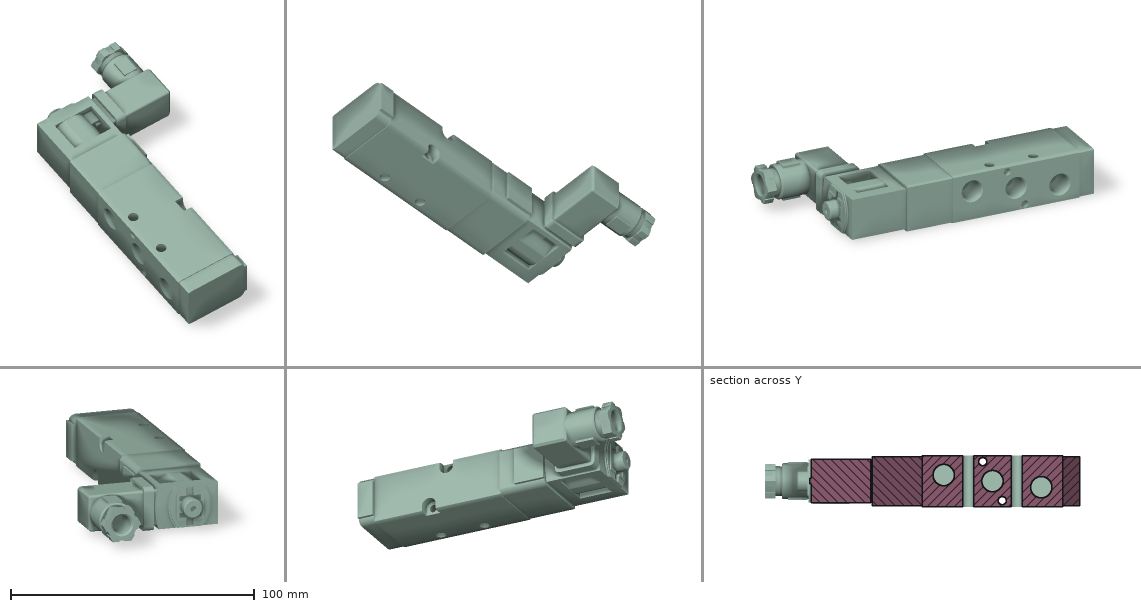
import cadquery as cq
import math


valve_length = 57.8
valve_half_width = 13.7
valve_height = 21.2
valve_round_run = 2.2
valve_round_drop = 0.5

port_diameter = 8.57
port_mouth_diameter = 9.8
port_depth = 11.0
port_pitch = 20.0
port_stagger = 2.5

mount_hole_diameter = 4.3
mount_hole_pitch = 20.0
mount_hole_y = -9.2

cross_hole_diameter = 3.2
cross_hole_x = 4.0
cross_hole_z = 8.0
head_pocket_width = 6.3
head_pocket_depth = 4.0

end_height = 20.4
end_front_y = -13.4
end_back_y = 14.45
end_front_round_run = 1.9
end_front_round_drop = 0.37
end_back_round_run = 2.95
end_back_round_drop = 1.9
adaptor_length = 20.6
cap_length = 6.9
tab_height = 1.3
tab_half_thickness = 7.8
adaptor_tab_length = 13.2

frame_gap = 0.3
frame_length = 24.6
frame_height = 18.0
frame_front_y = -12.6
frame_back_y = 13.1
frame_crown = 1.6
spigot_diameter = 12.0

window_length = 14.4
window_offset = 5.0
window_front_y = -7.2
window_back_y = 11.0
window_corner_radius = 0.6

coil_diameter = 18.3
coil_flat_half_height = 8.84
terminal_length = 5.7
terminal_width = 3.9
terminal_half_height = 5.8
terminal_step_length = 1.1
terminal_step_width = 2.0
terminal_step_half_height = 4.5

nose_base_half_width = 9.2
nose_base_corner_half_width = 5.9
nose_base_height = 0.6
nose_step_half_width = 8.3
nose_step_corner_half_width = 5.2
nose_step_height = 1.0
nose_boss_half_width = 5.9
nose_boss_height = 1.5
nose_pocket_half_width = 4.7
spoke_half_height = 2.45
nose_notch_width = 3.2
nose_notch_outer_z = 8.2
tip_diameter = 8.0
tip_length = 5.6
tip_chamfer = 0.4
override_diameter = 2.4
override_depth = 1.5

plug_offset = 0.75
plug_length = 15.6
plug_half_thickness = 7.75
plug_back_y = 43.0
plug_edge_radius = 1.0
plug_chamfer = 0.95
flange_length = 18.1
flange_overhang = 1.5
flange_half_thickness = 9.35
flange_start_y = 15.4
flange_thickness = 4.3
flange_corner_radius = 2.1

gland_y = 35.3
barrel_diameter = 14.8
barrel_length = 12.7
barrel_chamfer = 0.5
groove_diameter = 12.0
groove_length = 0.8
collar_diameter = 12.4
collar_length = 1.9
barrel_pad_length = 7.9
barrel_pad_width = 6.0
barrel_pad_offset = 2.5
knob_length = 4.15
knob_corner_diameter = 16.22
knob_groove_width = 2.6
knob_groove_depth = 0.5
cable_bore_diameter = 8.0
cable_bore_mouth_chamfer = 0.8
cable_bore_depth = 12.0

valve_left_x = -valve_length / 2
valve_right_x = valve_length / 2
adaptor_left_x = valve_left_x - adaptor_length
frame_right_x = adaptor_left_x - frame_gap
frame_left_x = frame_right_x - frame_length
window_left_x = frame_left_x + window_offset
coil_radius = coil_diameter / 2
plug_left_x = frame_left_x + plug_offset
flange_left_x = plug_left_x - flange_overhang
barrel_left_x = plug_left_x - barrel_length
collar_right_x = barrel_left_x - groove_length
collar_left_x = collar_right_x - collar_length
knob_left_x = collar_left_x - knob_length


def box(x_range, y_range, z_range):
    """Box between the given low and high limits on each axis."""
    size = [high - low for low, high in (x_range, y_range, z_range)]
    corner = (x_range[0], y_range[0], z_range[0])
    return cq.Workplane("XY").box(*size, centered=False).translate(corner)


def edge_round_middle(run, drop):
    """Run and drop at the middle of an arc that leaves a flat face tangentially."""
    radius = (run**2 + drop**2) / (2 * drop)
    half_angle = math.atan2(run, radius - drop) / 2
    return radius * math.sin(half_angle), radius * (1 - math.cos(half_angle))


def rounded_bar(left_x, length, y_range, height, front_round, back_round):
    """Bar along X; each round is the run along Y and drop along Z of its long edge arcs."""
    front_y, back_y = y_range
    front_run, front_drop = front_round
    back_run, back_drop = back_round
    front_middle_run, front_middle_drop = edge_round_middle(front_run, front_drop)
    back_middle_run, back_middle_drop = edge_round_middle(back_run, back_drop)
    top_z = height / 2
    front_flat_y = front_y + front_run
    back_flat_y = back_y - back_run
    front_middle = (front_flat_y - front_middle_run, top_z - front_middle_drop)
    back_middle = (back_flat_y + back_middle_run, top_z - back_middle_drop)
    upper_half = (
        cq.Workplane("YZ", origin=(left_x, 0, 0))
        .moveTo(front_y, 0)
        .lineTo(front_y, top_z - front_drop)
        .threePointArc(front_middle, (front_flat_y, top_z))
        .lineTo(back_flat_y, top_z)
        .threePointArc(back_middle, (back_y, top_z - back_drop))
        .lineTo(back_y, 0)
        .close()
        .extrude(length)
    )
    return upper_half.union(upper_half.mirror("XY")).clean()


def rod_x(left_x, length, diameter, y=0.0):
    """Cylinder along +X that starts at left_x."""
    return cq.Workplane("YZ", origin=(left_x, y, 0)).circle(diameter / 2).extrude(length)


def make_port(x, z):
    """Round port into the -Y face with a countersunk mouth."""
    mouth = (port_mouth_diameter - port_diameter) / 2
    bore_radius = port_diameter / 2
    outline = [
        (0, 0),
        (bore_radius + mouth, 0),
        (bore_radius, mouth),
        (bore_radius, port_depth),
        (0, port_depth),
    ]
    port = cq.Workplane("XY").polyline(outline).close().revolve(360, (0, 0), (0, 1))
    return port.translate((x, -valve_half_width, z))


def make_cross_hole(side):
    """Screw hole along Y; its head pocket opens at +Y and at the near top or bottom face."""
    x = -side * cross_hole_x
    z = side * cross_hole_z
    start = cq.Workplane("XZ", origin=(x, valve_half_width, z))
    hole = start.circle(cross_hole_diameter / 2).extrude(2 * valve_half_width)
    pocket = start.circle(head_pocket_width / 2).extrude(head_pocket_depth)
    opening = box(
        (x - head_pocket_width / 2, x + head_pocket_width / 2),
        (valve_half_width - head_pocket_depth, valve_half_width),
        (min(z, side * valve_height), max(z, side * valve_height)),
    )
    return hole.union(pocket).union(opening)


def make_valve():
    edge_round = (valve_round_run, valve_round_drop)
    valve_y = (-valve_half_width, valve_half_width)
    valve = rounded_bar(valve_left_x, valve_length, valve_y, valve_height, edge_round, edge_round)
    for index in (-1, 0, 1):
        valve = valve.cut(make_port(index * port_pitch, -index * port_stagger))
    for side in (-1, 1):
        mount_start = (side * mount_hole_pitch / 2, mount_hole_y, -valve_height / 2)
        mount_hole = cq.Workplane("XY", origin=mount_start).circle(mount_hole_diameter / 2)
        valve = valve.cut(mount_hole.extrude(valve_height))
        valve = valve.cut(make_cross_hole(side))
    return valve


def make_end_block(left_x, length, tab_length):
    """Block with shallow front rounds, deeper back rounds and a tab on its back face."""
    front_round = (end_front_round_run, end_front_round_drop)
    back_round = (end_back_round_run, end_back_round_drop)
    block_y = (end_front_y, end_back_y)
    block = rounded_bar(left_x, length, block_y, end_height, front_round, back_round)
    tab = box(
        (left_x, left_x + tab_length),
        (0, end_back_y + tab_height),
        (-tab_half_thickness, tab_half_thickness),
    )
    return block.union(tab)


def make_frame():
    """Frame with a crowned back face and a window through it along Z."""
    half_height = frame_height / 2
    frame = (
        cq.Workplane("YZ", origin=(frame_left_x, 0, 0))
        .moveTo(frame_back_y, -half_height)
        .lineTo(frame_front_y, -half_height)
        .lineTo(frame_front_y, half_height)
        .lineTo(frame_back_y, half_height)
        .threePointArc((frame_back_y + frame_crown, 0), (frame_back_y, -half_height))
        .close()
        .extrude(frame_length)
    )
    window = box(
        (window_left_x, window_left_x + window_length),
        (window_front_y, window_back_y),
        (-half_height, half_height),
    )
    window = window.edges("|Z and >X and >Y").fillet(window_corner_radius)
    return frame.cut(window)


def make_coil():
    """Flattened coil cylinder with its terminal block, both inside the window."""
    coil = rod_x(frame_left_x, frame_length, coil_diameter)
    coil = coil.intersect(box(
        (frame_left_x, frame_right_x),
        (-coil_radius, coil_radius),
        (-coil_flat_half_height, coil_flat_half_height),
    ))
    terminal_right_x = window_left_x + terminal_length
    terminal = box(
        (window_left_x, terminal_right_x),
        (window_back_y - terminal_width, window_back_y),
        (-terminal_half_height, terminal_half_height),
    )
    step = box(
        (terminal_right_x, terminal_right_x + terminal_step_length),
        (window_back_y - terminal_step_width, window_back_y),
        (-terminal_step_half_height, terminal_step_half_height),
    )
    return coil.union(terminal).union(step)


def nose_plate(half_width, corner_half_width, height):
    """Plate on the frame's end face, flat at top and bottom and bowed out at both sides."""
    flat_z = coil_flat_half_height
    return (
        cq.Workplane("YZ", origin=(frame_left_x - height, 0, 0))
        .moveTo(corner_half_width, -flat_z)
        .threePointArc((half_width, 0), (corner_half_width, flat_z))
        .lineTo(-corner_half_width, flat_z)
        .threePointArc((-half_width, 0), (-corner_half_width, -flat_z))
        .close()
        .extrude(height)
    )


def make_nose():
    """Stepped nose with pockets above and below two spokes, notches and the core tip."""
    boss_left_x = frame_left_x - nose_boss_height
    boss_span = (-nose_boss_half_width, nose_boss_half_width)
    nose = nose_plate(nose_base_half_width, nose_base_corner_half_width, nose_base_height)
    nose = nose.union(nose_plate(nose_step_half_width, nose_step_corner_half_width, nose_step_height))
    nose = nose.union(box((boss_left_x, frame_left_x), boss_span, boss_span))
    nose_x = (boss_left_x, frame_left_x)
    pocket_y = (-nose_pocket_half_width, nose_pocket_half_width)
    notch_y = (-nose_notch_width / 2, nose_notch_width / 2)
    pocket = box(nose_x, pocket_y, (spoke_half_height, nose_pocket_half_width))
    notch = box(nose_x, notch_y, (nose_pocket_half_width, nose_notch_outer_z))
    for cutter in (pocket, notch):
        nose = nose.cut(cutter).cut(cutter.mirror("XY"))
    tip = rod_x(frame_left_x - tip_length, tip_length, tip_diameter)
    tip = tip.faces("<X").chamfer(tip_chamfer)
    override = rod_x(frame_left_x - tip_length, override_depth, override_diameter)
    return nose.union(tip).cut(override)


def make_plug():
    """Plug housing standing on the frame's crowned back face, with its mounting flange."""
    housing = box(
        (plug_left_x, plug_left_x + plug_length),
        (window_back_y, plug_back_y),
        (-plug_half_thickness, plug_half_thickness),
    )
    housing = housing.edges("|Y").fillet(plug_edge_radius).faces(">Y").chamfer(plug_chamfer)
    flange = box(
        (flange_left_x, flange_left_x + flange_length),
        (flange_start_y, flange_start_y + flange_thickness),
        (-flange_half_thickness, flange_half_thickness),
    )
    flange = flange.edges("|Y").fillet(flange_corner_radius)
    return housing.union(flange)


def make_knob():
    """Hexagonal gland nut with a groove along the middle of each flat."""
    knob = cq.Workplane("YZ", origin=(knob_left_x, gland_y, 0))
    knob = knob.polygon(6, knob_corner_diameter).extrude(knob_length)
    apothem = knob_corner_diameter / 2 * math.cos(math.pi / 6)
    groove = box(
        (knob_left_x, knob_left_x + knob_length),
        (gland_y - knob_groove_width / 2, gland_y + knob_groove_width / 2),
        (apothem - knob_groove_depth, apothem + knob_groove_depth),
    )
    for index in range(6):
        knob = knob.cut(groove.rotate((0, gland_y, 0), (1, gland_y, 0), index * 60))
    return knob


def make_gland():
    """Barrel with two flat pads, groove, collar, knob and cable bore."""
    barrel = rod_x(barrel_left_x, barrel_length + plug_edge_radius, barrel_diameter, gland_y)
    barrel = barrel.faces("<X").chamfer(barrel_chamfer)
    groove = rod_x(collar_right_x, groove_length, groove_diameter, gland_y)
    collar = rod_x(collar_left_x, collar_length, collar_diameter, gland_y)
    pad_left_x = barrel_left_x + barrel_pad_offset
    pads = box(
        (pad_left_x, pad_left_x + barrel_pad_length),
        (gland_y - barrel_pad_width / 2, gland_y + barrel_pad_width / 2),
        (-plug_half_thickness, plug_half_thickness),
    )
    gland = barrel.union(groove).union(collar).union(pads).union(make_knob())
    bore = rod_x(knob_left_x, cable_bore_depth, cable_bore_diameter, gland_y)
    mouth_radius = cable_bore_diameter / 2 + cable_bore_mouth_chamfer
    mouth = cq.Workplane("YZ", origin=(knob_left_x, gland_y, 0)).circle(mouth_radius)
    mouth = mouth.extrude(cable_bore_mouth_chamfer, taper=45)
    return gland.cut(bore).cut(mouth)


def make_solenoid():
    """Frame, coil, nose, plug and gland as one body, seated on the adaptor by a short spigot."""
    spigot = rod_x(frame_right_x, frame_gap, spigot_diameter)
    solenoid = make_frame().union(make_coil()).union(make_nose()).union(spigot)
    return solenoid.union(make_plug()).union(make_gland())


valve = make_valve()
adaptor = make_end_block(adaptor_left_x, adaptor_length, adaptor_tab_length)
end_cap = make_end_block(valve_right_x, cap_length, cap_length)
solenoid = make_solenoid()

result = cq.Compound.makeCompound([valve.val(), adaptor.val(), end_cap.val(), solenoid.val()])